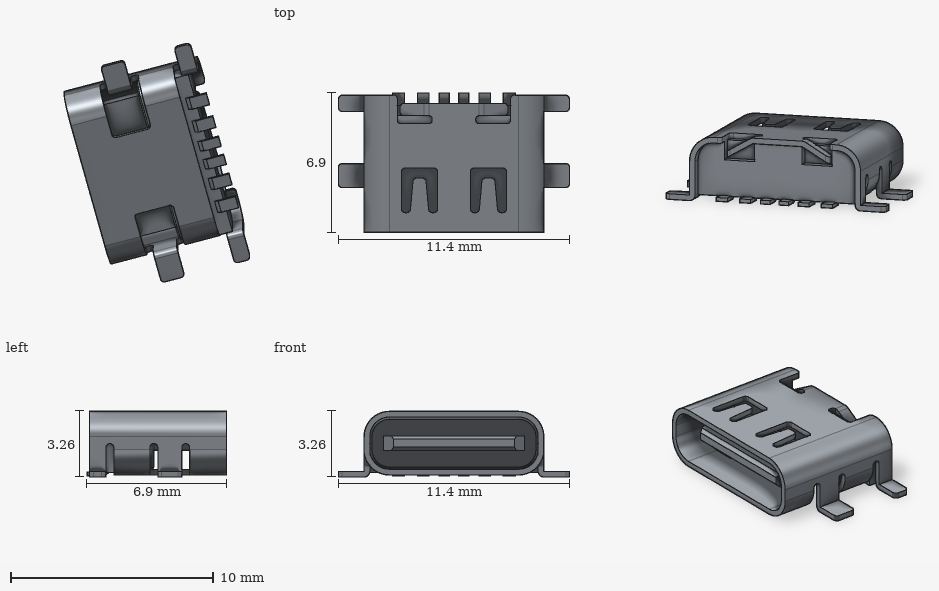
import cadquery as cq
import math


wall = 0.29
shell_width = 8.9
shell_height = 3.16
shell_length = 6.8
shell_radius = 1.26
shell_bottom = 0.1
shell_mid_z = shell_bottom + shell_height / 2
shell_top = shell_bottom + shell_height
inner_width = shell_width - 2 * wall
inner_height = shell_height - 2 * wall
inner_radius = shell_radius - wall

foot_span = 11.44
slit_width = 0.39
slit_top = 1.66
mid_leg = (2.22, 3.41, 0.18)
rear_leg = (5.97, shell_length, 0.22)
floor_end = rear_leg[0] - slit_width
window_inner_x = 2.02
window_radius = 0.18

finger_x = 1.7
finger_slot_width = 1.8
finger_slot_front = 0.97
finger_slot_rear = 3.18
finger_tip_y = 2.69
finger_tip_width = 0.62
finger_root_width = 0.93
finger_radius = 0.18
finger_end_radius = 0.21

notch_outer_x = 2.8
notch_inner_x = 1.08
notch_front = 5.38
notch_radius = 0.18
top_rear = 6.38
flap_front = 5.78
flap_bend_x = 1.24
flap_end_x = 2.67
flap_angle = 30.0
flap_bend_radius = 0.5
flap_corner_radius = 0.18

plate_front = 3.6
plate_bevel = 0.11
plate_bevel_depth = 0.08
housing_rear = 6.28
housing_bottom = 0.23
pocket_floor = 2.06

tongue_width = 6.98
tongue_thickness = 0.72
tongue_front = 0.61
tongue_tip_width = 5.97
tongue_tip_thickness = 0.39
tongue_side_bevel_depth = 0.87
tongue_face_bevel_depth = 0.18

pins = [(0.48, 0.5), (1.52, 0.58), (2.73, 0.6)]
pin_rear = 6.9
pin_thickness = 0.2
pin_bottom = 0.07
pin_bend_front = 5.83
pin_bend_rear = 6.02


def block(x_range, y_range, z_range):
    """Box given by its limits along each axis."""
    (x0, x1), (y0, y1), (z0, z1) = x_range, y_range, z_range
    return cq.Workplane("XY").box(x1 - x0, y1 - y0, z1 - z0, centered=False).translate((x0, y0, z0))


def rounded_bar(width, height, radius, y_start, y_end):
    """Bar along Y with a rounded rectangular section centred in the shell."""
    bar = cq.Workplane("XZ").rect(width, height).extrude(-(y_end - y_start))
    return bar.edges("|Y").fillet(radius).translate((0, y_start, shell_mid_z))


def both_sides(body):
    """The body together with its mirror image about the YZ plane."""
    return body.union(body.mirror("YZ"))


def slit(y_start):
    """Round-topped slit through the side wall, beside a leg."""
    radius = slit_width / 2
    x_inner = inner_width / 2 - shell_radius
    arch_z = slit_top - radius
    profile = (
        cq.Workplane("YZ", origin=(x_inner, y_start, 0))
        .lineTo(slit_width, 0)
        .lineTo(slit_width, arch_z)
        .threePointArc((radius, slit_top), (0, arch_z))
        .close()
    )
    return profile.extrude(shell_width / 2 - x_inner + wall)


def leg_window():
    """Opening left in the lower corner where the middle leg was bent out."""
    y_range = (mid_leg[0] - slit_width, mid_leg[1] + slit_width)
    top = shell_bottom + shell_radius
    window = block((window_inner_x, shell_width), y_range, (0, top))
    return window.edges("|Z and <X").fillet(window_radius)


def leg(y_start, y_end, corner_radius):
    """Leg going straight down from the side wall and bent out to a flat foot."""
    outer_x = shell_width / 2
    inner_x = outer_x - wall
    top = shell_bottom + shell_radius
    bend = wall * (1 - math.sqrt(0.5))
    profile = (
        cq.Workplane("XZ")
        .moveTo(inner_x, top)
        .lineTo(inner_x, wall)
        .threePointArc((inner_x + bend, bend), (outer_x, 0))
        .lineTo(foot_span / 2, 0)
        .lineTo(foot_span / 2, wall)
        .lineTo(outer_x, wall)
        .lineTo(outer_x, top)
        .close()
    )
    body = profile.extrude(-(y_end - y_start)).translate((0, y_start, 0))
    return body.edges("|Z and >X").fillet(corner_radius)


def finger_slot():
    """U-shaped slot that leaves a tapered spring finger in the top wall."""
    depth = 2 * wall
    mid_y = (finger_slot_front + finger_slot_rear) / 2
    slot = (
        cq.Workplane("XY", origin=(finger_x, mid_y, shell_top - wall))
        .rect(finger_slot_width, finger_slot_rear - finger_slot_front)
        .extrude(depth)
        .edges("|Z and >Y")
        .fillet(finger_radius)
    )
    finger = (
        cq.Workplane("XY", origin=(finger_x, 0, shell_top - wall))
        .polyline([
            (-finger_root_width / 2, finger_slot_front),
            (finger_root_width / 2, finger_slot_front),
            (finger_tip_width / 2, finger_tip_y),
            (-finger_tip_width / 2, finger_tip_y),
        ])
        .close()
        .extrude(depth)
        .edges("|Z and >Y")
        .fillet(finger_radius)
    )
    return slot.cut(finger).edges("|Z and <Y").fillet(finger_end_radius)


def flap_pocket(y_start, z_bottom):
    """Rear-open space around a flap."""
    return block((flap_bend_x, notch_outer_x), (y_start, shell_length), (z_bottom, shell_top))


def notch():
    """Rear notch in the top wall, undercutting the flap root at its front end."""
    undercut = block((notch_inner_x, notch_outer_x), (notch_front, flap_front), (shell_mid_z, shell_top))
    undercut = undercut.edges("|Z").fillet(notch_radius)
    return undercut.union(flap_pocket(notch_front + notch_radius, shell_mid_z))


def flap():
    """Flap that curves down from the top wall and slopes outward inside the notch."""
    angle = math.radians(flap_angle)
    inner_bend = flap_bend_radius - wall
    centre_z = shell_top - flap_bend_radius

    def on_bend(radius, turn):
        return flap_bend_x + radius * math.sin(turn), centre_z + radius * math.cos(turn)

    def slope_end(start):
        return flap_end_x, start[1] - (flap_end_x - start[0]) * math.tan(angle)

    upper = on_bend(flap_bend_radius, angle)
    lower = on_bend(inner_bend, angle)
    profile = (
        cq.Workplane("XZ")
        .moveTo(flap_bend_x, shell_top)
        .threePointArc(on_bend(flap_bend_radius, angle / 2), upper)
        .lineTo(*slope_end(upper))
        .lineTo(*slope_end(lower))
        .lineTo(*lower)
        .threePointArc(on_bend(inner_bend, angle / 2), (flap_bend_x, shell_top - wall))
        .close()
    )
    body = profile.extrude(-(top_rear - flap_front)).translate((0, flap_front, 0))
    return body.edges("|Z and >X").fillet(flap_corner_radius)


def make_shell():
    tube = rounded_bar(shell_width, shell_height, shell_radius, 0, shell_length)
    tube = tube.cut(rounded_bar(inner_width, inner_height, inner_radius, 0, shell_length))
    lower_z = (0, shell_bottom + shell_radius)
    tube = tube.cut(block((-shell_width, shell_width), (floor_end, shell_length), lower_z))
    upper_z = (shell_mid_z, shell_top)
    tube = tube.cut(block((-notch_outer_x, notch_outer_x), (top_rear, shell_length), upper_z))
    tube = tube.cut(both_sides(leg_window()))
    for y_start in (mid_leg[0] - slit_width, mid_leg[1], rear_leg[0] - slit_width):
        tube = tube.cut(both_sides(slit(y_start)))
    tube = tube.cut(both_sides(notch()))
    tube = tube.edges("|Z and >Y").edges(cq.selectors.BoxSelector(
        (-notch_outer_x - wall, shell_length - wall, shell_mid_z),
        (notch_outer_x + wall, shell_length + wall, shell_top),
    )).fillet(notch_radius)
    tube = tube.cut(both_sides(finger_slot()))
    for leg_size in (mid_leg, rear_leg):
        tube = tube.union(both_sides(leg(*leg_size)))
    return tube.union(both_sides(flap()))


def make_tongue():
    """Flat tongue bevelled to a smaller tip on its long faces and its two ends."""
    length = plate_front - tongue_front
    half_width = tongue_width / 2
    half_tip = tongue_tip_width / 2
    plan = (
        cq.Workplane("XY", origin=(0, tongue_front, shell_mid_z - tongue_thickness / 2))
        .polyline([
            (-half_tip, 0),
            (half_tip, 0),
            (half_width, tongue_side_bevel_depth),
            (half_width, length),
            (-half_width, length),
            (-half_width, tongue_side_bevel_depth),
        ])
        .close()
        .extrude(tongue_thickness)
    )
    half_thickness = tongue_thickness / 2
    half_tip_z = tongue_tip_thickness / 2
    side = (
        cq.Workplane("YZ", origin=(-half_width, tongue_front, shell_mid_z))
        .polyline([
            (0, -half_tip_z),
            (tongue_face_bevel_depth, -half_thickness),
            (length, -half_thickness),
            (length, half_thickness),
            (tongue_face_bevel_depth, half_thickness),
            (0, half_tip_z),
        ])
        .close()
        .extrude(tongue_width)
    )
    return plan.intersect(side)


def make_housing():
    core = rounded_bar(inner_width, inner_height, inner_radius, plate_front, housing_rear)
    core = core.faces("<Y").chamfer(plate_bevel_depth, plate_bevel)
    half_width = inner_width / 2
    base = block((-half_width, half_width), (floor_end, housing_rear), (housing_bottom, shell_mid_z))
    return core.union(base).cut(both_sides(flap_pocket(flap_front, pocket_floor)))


def pin(centre_x, width):
    """Contact foot that bends up into the housing."""
    top = pin_bottom + pin_thickness
    profile = (
        cq.Workplane("YZ", origin=(centre_x - width / 2, 0, 0))
        .polyline([
            (pin_bend_rear, pin_bottom),
            (pin_rear, pin_bottom),
            (pin_rear, top),
            (pin_bend_front, top),
            (pin_bend_front, housing_bottom),
        ])
        .close()
    )
    return profile.extrude(width)


result = make_housing().union(make_tongue()).union(make_shell())
for centre_x, width in pins:
    result = result.union(both_sides(pin(centre_x, width)))